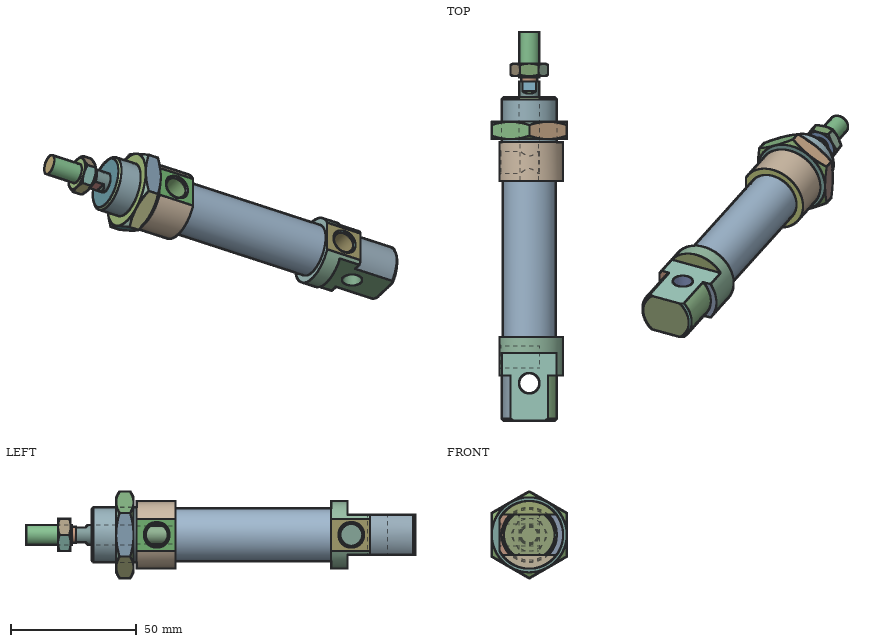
import cadquery as cq
import math


cap_length = 15.5
neck_length = 18.0
shoulder_to_tip = 44.0

rear_end = -15.0
rear_cap_outer = 3.0
rear_port = 10.5
tang_step = 12.0
rear_cap_inner = rear_cap_outer + cap_length
front_port = 88.0
shoulder = 96.0
front_cap_inner = shoulder - cap_length
neck_end = shoulder + neck_length
rod_tip = shoulder + shoulder_to_tip

tube_diameter = 21.2
cap_diameter = 27.0
neck_diameter = 22.0
end_chamfer = 0.9
port_face_offset = 11.9
port_diameter = 8.8
port_mouth_diameter = 10.2
tang_thickness = 16.0
pivot_hole_diameter = 8.0

rod_diameter = 8.0
rod_tail_diameter = 7.2
thread_length = 18.25
groove_diameter = 6.5
groove_length = 1.5
wrench_flats = 6.0
wrench_flat_length = 3.9

nut_chamfer_slope = math.tan(math.radians(30))
mounting_nut_flats = 30.0
mounting_nut_chamfer_diameter = 29.9
mounting_nut_thickness = 7.0
mounting_nut_gap = 1.2
rod_nut_flats = 13.0
rod_nut_chamfer_diameter = 13.0
rod_nut_thickness = 5.0
rod_nut_to_tip = 12.7


def cylinder_y(diameter, start, end):
    """Solid cylinder on the Y axis between two stations."""
    return cq.Workplane("XZ", origin=(0, start, 0)).circle(diameter / 2).extrude(start - end)


def port(station):
    """Blind port from the -X flat to the far side of the rod, with a 45 degree countersunk mouth."""
    bore_radius = port_diameter / 2
    mouth_radius = port_mouth_diameter / 2
    mouth_depth = mouth_radius - bore_radius
    floor = rod_diameter / 2
    return (
        cq.Workplane("XY", origin=(0, station, 0))
        .moveTo(floor, 0)
        .lineTo(floor, bore_radius)
        .lineTo(-port_face_offset + mouth_depth, bore_radius)
        .lineTo(-port_face_offset, mouth_radius)
        .lineTo(-port_face_offset, 0)
        .close()
        .revolve(360, (0, 0, 0), (1, 0, 0))
    )


def cap(inner, outer):
    """End cap: a round block with one flat on its -X side."""
    middle = (inner + outer) / 2
    keep = cq.Workplane("XY").box(cap_diameter, cap_diameter, cap_diameter)
    keep = keep.translate((cap_diameter / 2 - port_face_offset, middle, 0))
    return cylinder_y(cap_diameter, inner, outer).intersect(keep)


def make_housing():
    """Tube with its two caps, threaded front neck and flattened rear tang, in one piece."""
    tang = cylinder_y(neck_diameter, rear_end, rear_cap_inner).faces("<Y").chamfer(end_chamfer)
    neck = cylinder_y(neck_diameter, front_cap_inner, neck_end).faces(">Y").chamfer(end_chamfer)
    tube = cylinder_y(tube_diameter, rear_cap_inner, front_cap_inner)
    body = (
        tube.union(tang)
        .union(neck)
        .union(cap(rear_cap_inner, rear_cap_outer))
        .union(cap(front_cap_inner, shoulder))
    )

    flat_length = tang_step - rear_end
    for side in (1, -1):
        waste = cq.Workplane("XY").box(cap_diameter, flat_length, cap_diameter)
        waste_height = side * (tang_thickness + cap_diameter) / 2
        body = body.cut(waste.translate((0, (tang_step + rear_end) / 2, waste_height)))

    for station in (rear_port, front_port):
        body = body.cut(port(station))

    pivot_hole = cq.Workplane("XY").circle(pivot_hole_diameter / 2).extrude(cap_diameter / 2, both=True)
    rod_bore = cylinder_y(rod_diameter, shoulder, neck_end)
    tail_bore = cylinder_y(rod_tail_diameter, front_cap_inner, shoulder)
    return body.cut(pivot_hole).cut(rod_bore).cut(tail_bore)


def make_rod():
    """Piston rod: slimmer tail in the front cap, wrench flats, undercut groove and threaded end."""
    radius = rod_diameter / 2
    tail_radius = rod_tail_diameter / 2
    groove_radius = groove_diameter / 2
    thread_end = rod_tip - thread_length
    groove_end = thread_end - groove_length
    rod = (
        cq.Workplane("XY")
        .moveTo(0, front_cap_inner)
        .lineTo(tail_radius, front_cap_inner)
        .lineTo(tail_radius, shoulder)
        .lineTo(radius, shoulder)
        .lineTo(radius, groove_end)
        .lineTo(groove_radius, groove_end)
        .lineTo(groove_radius, thread_end)
        .lineTo(radius, thread_end)
        .lineTo(radius, rod_tip)
        .lineTo(0, rod_tip)
        .close()
        .revolve(360, (0, 0, 0), (0, 1, 0))
    )

    flat_end = groove_end - wrench_flat_length
    flat_height = wrench_flats / 2
    run_out = radius - flat_height
    for side in (1, -1):
        waste = (
            cq.Workplane("YZ")
            .moveTo(groove_end, side * flat_height)
            .lineTo(flat_end, side * flat_height)
            .lineTo(flat_end - run_out, side * radius)
            .lineTo(groove_end, side * radius)
            .close()
            .extrude(radius, both=True)
        )
        rod = rod.cut(waste)
    return rod


def make_nut(flats, chamfer_diameter, bore, start, thickness, corner_angle):
    """Hexagon nut on the Y axis, its corners turned down by 30 degree cones at both ends."""
    corner_radius = flats / math.sqrt(3)
    chamfer_radius = chamfer_diameter / 2
    cone_depth = (corner_radius - chamfer_radius) * nut_chamfer_slope
    hexagon = (
        cq.Workplane("XZ")
        .polygon(6, 2 * corner_radius)
        .circle(bore / 2)
        .extrude(-thickness)
        .rotate((0, 0, 0), (0, 1, 0), corner_angle)
    )
    envelope = (
        cq.Workplane("XY")
        .lineTo(chamfer_radius, 0)
        .lineTo(corner_radius, cone_depth)
        .lineTo(corner_radius, thickness - cone_depth)
        .lineTo(chamfer_radius, thickness)
        .lineTo(0, thickness)
        .close()
        .revolve(360, (0, 0, 0), (0, 1, 0))
    )
    return hexagon.intersect(envelope).translate((0, start, 0))


housing = make_housing()
rod = make_rod()

mounting_nut = make_nut(
    mounting_nut_flats,
    mounting_nut_chamfer_diameter,
    neck_diameter,
    shoulder + mounting_nut_gap,
    mounting_nut_thickness,
    corner_angle=90,
)

rod_nut = make_nut(
    rod_nut_flats,
    rod_nut_chamfer_diameter,
    rod_diameter,
    rod_tip - rod_nut_to_tip - rod_nut_thickness,
    rod_nut_thickness,
    corner_angle=0,
)

result = cq.Compound.makeCompound([housing.val(), rod.val(), mounting_nut.val(), rod_nut.val()])